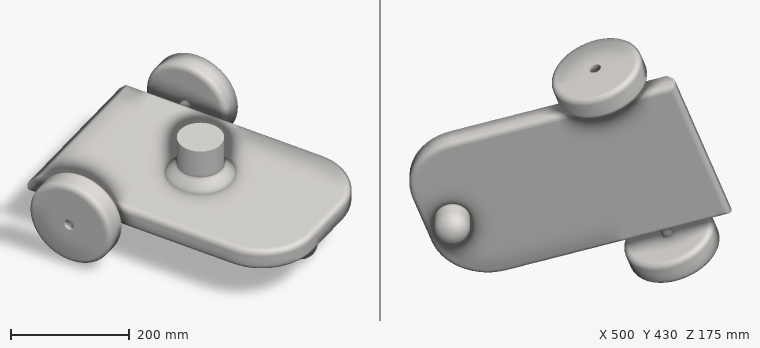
import cadquery as cq

chassis_length = 500
chassis_width = 300
chassis_thickness = 40
rear_corner_radius = 100
nose_bevel = 20
edge_radius = 10

wheel_diameter = 160
wheel_width = 45
wheel_gap = 20
wheel_x = -130
axle_diameter = 20
wheel_edge_radius = 10

caster_x = 196
caster_diameter = 60
caster_housing_height = 30
caster_edge_radius = 10

turret_base_diameter = 120
turret_diameter = 80
turret_base_height = 20
turret_body_height = 45
turret_cap_height = 10

chassis_top = chassis_thickness / 2
chassis_bottom = -chassis_thickness / 2
bevel_foot_z = chassis_top - nose_bevel
nose_x = -chassis_length / 2
chassis_side = chassis_width / 2
wheel_inner_face = chassis_side + wheel_gap
axle_length = wheel_gap + wheel_width / 2
turret_body_bottom = chassis_top + turret_base_height
turret_cap_bottom = turret_body_bottom + turret_body_height
caster_ball_z = chassis_bottom - caster_housing_height


def disc(diameter, height, x, bottom):
    """Upright cylinder on the centre line of the vehicle."""
    return cq.Workplane("XY", origin=(x, 0, bottom)).circle(diameter / 2).extrude(height)


def make_chassis():
    """Plate with round rear corners, a bevelled nose and rounded rims."""
    plate = cq.Workplane("XY").box(chassis_length, chassis_width, chassis_thickness)
    plate = plate.edges("|Z and >X").fillet(rear_corner_radius)
    plate = plate.edges(">Z and <X").chamfer(nose_bevel)
    plate = plate.faces("|Z").edges().fillet(edge_radius)
    return plate.edges(cq.selectors.NearestToPointSelector((nose_x, 0, bevel_foot_z))).fillet(edge_radius)


def side_workplane(side, distance):
    """Plane facing outward on one side (-1 or +1), centred on the wheel axis."""
    return cq.Workplane(
        cq.Plane(origin=(wheel_x, side * distance, 0), xDir=(1, 0, 0), normal=(0, side, 0))
    )


def make_axle(side):
    """Stub axle from the chassis side to the middle of the wheel."""
    return side_workplane(side, chassis_side).circle(axle_diameter / 2).extrude(axle_length)


def make_wheel(side):
    """Wheel with rounded rims and a through bore for its axle."""
    wheel = side_workplane(side, wheel_inner_face).circle(wheel_diameter / 2).extrude(wheel_width)
    wheel = wheel.edges().fillet(wheel_edge_radius)
    bore = side_workplane(side, wheel_inner_face).circle(axle_diameter / 2).extrude(wheel_width)
    return wheel.cut(bore)


def make_caster_housing():
    """Short cylinder with a rounded upper rim."""
    housing = disc(caster_diameter, caster_housing_height, caster_x, caster_ball_z)
    return housing.edges(">Z").fillet(caster_edge_radius)


def make_caster_ball():
    """Half ball, flat face up against the housing."""
    radius = caster_diameter / 2
    ball = cq.Workplane("XY", origin=(caster_x, 0, caster_ball_z)).sphere(radius)
    return ball.cut(disc(caster_diameter, radius, caster_x, caster_ball_z))


def make_turret_base():
    """Cone that narrows from the chassis to the turret body."""
    base = cq.Solid.makeCone(
        turret_base_diameter / 2,
        turret_diameter / 2,
        turret_base_height,
        pnt=cq.Vector(0, 0, chassis_top),
    )
    return cq.Workplane(base)


chassis = make_chassis()
sides = (-1, 1)
axles = [make_axle(side) for side in sides]
wheels = [make_wheel(side) for side in sides]
caster_housing = make_caster_housing()
caster_ball = make_caster_ball()
turret_base = make_turret_base()
turret_body = disc(turret_diameter, turret_body_height, 0, turret_body_bottom)
turret_cap = disc(turret_diameter, turret_cap_height, 0, turret_cap_bottom)

result = cq.Compound.makeCompound([
    chassis.val(),
    *[axle.val() for axle in axles],
    *[wheel.val() for wheel in wheels],
    caster_housing.val(),
    caster_ball.val(),
    turret_base.val(),
    turret_body.val(),
    turret_cap.val(),
])